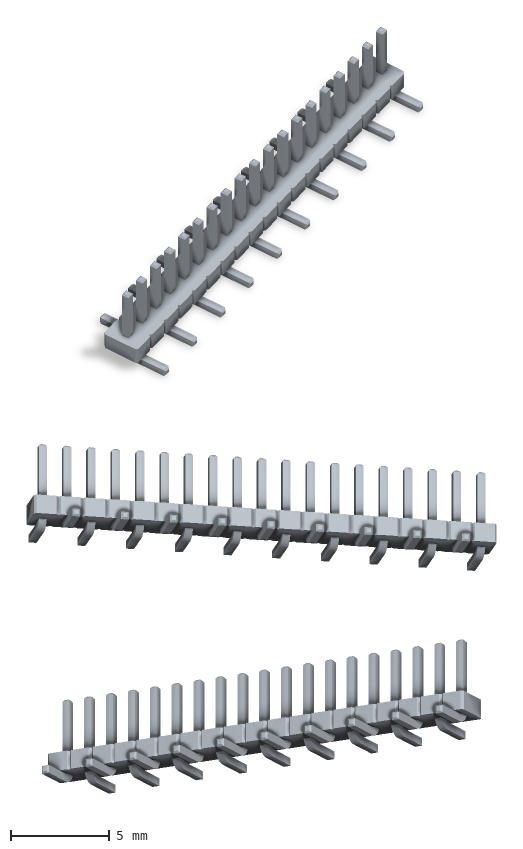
import cadquery as cq


pin_count = 19
row_length = 24.13
pitch = row_length / pin_count

body_width = 2.1
body_bottom = 0.48
body_top = 1.47
corner_chamfer = 0.12

pin_size = 0.4
pin_top = 4.5
leg_span = 5.0
bend_outer_radius = 0.75
bend_inner_radius = bend_outer_radius - pin_size
tip_chamfer = 0.1


def make_body_block():
    """One body segment; its chamfered corners form V notches between neighbours."""
    return (
        cq.Workplane("XY")
        .workplane(offset=body_bottom)
        .rect(body_width, pitch)
        .extrude(body_top - body_bottom)
        .edges("|Z")
        .chamfer(corner_chamfer)
    )


def make_pin():
    """Square wire standing on the Z axis, bent into a leg toward +X at Z = 0."""
    bend_center_x = bend_outer_radius - pin_size / 2
    leg_end = leg_span / 2
    path = (
        cq.Workplane("XZ")
        .moveTo(-pin_size / 2, pin_top)
        .lineTo(-pin_size / 2, bend_outer_radius)
        .radiusArc((bend_center_x, 0), -bend_outer_radius)
        .lineTo(leg_end, 0)
        .lineTo(leg_end, pin_size)
        .lineTo(bend_center_x, pin_size)
        .radiusArc((pin_size / 2, bend_outer_radius), bend_inner_radius)
        .lineTo(pin_size / 2, pin_top)
        .close()
    )
    pin = path.extrude(pin_size / 2, both=True)
    pin = pin.faces(">Z").chamfer(tip_chamfer)
    return pin.faces(">X").chamfer(tip_chamfer)


body_block = make_body_block()
right_pin = make_pin()
left_pin = right_pin.rotate((0, 0, 0), (0, 0, 1), 180)

result = cq.Workplane("XY")
for index in range(pin_count):
    y = (index - (pin_count - 1) / 2) * pitch
    pin = right_pin if index % 2 == 0 else left_pin
    result = result.union(body_block.translate((0, y, 0)))
    result = result.union(pin.translate((0, y, 0)))